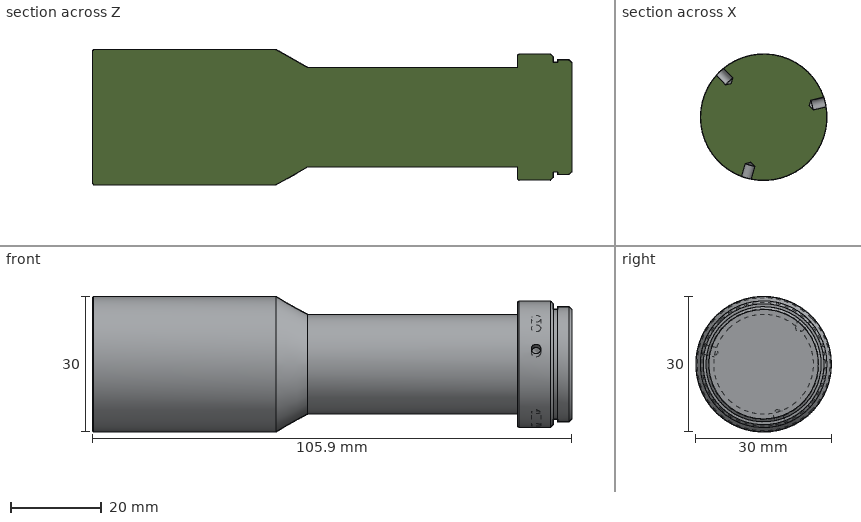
import cadquery as cq
import math

total_length = 105.9
barrel_end = 40.6
cone_end = 47.5
collar_start = 93.8
collar_end = 101.8
groove_end = 102.7

barrel_radius = 14.98
tube_radius = 11.0
collar_radius = 14.0
groove_radius = 12.2
spigot_radius = 12.7

barrel_chamfer = 0.3
collar_front_chamfer = 0.3
rear_chamfer = 0.6

hole_count = 3
hole_diameter = 2.1
hole_depth = collar_radius - tube_radius
drill_tip_angle = 118.0
hole_x = 98.0
first_hole_angle = 46.0


def make_body():
    """Revolve the stepped half profile about the X axis."""
    profile = [
        (0, 0),
        (0, barrel_radius - barrel_chamfer),
        (barrel_chamfer, barrel_radius),
        (barrel_end, barrel_radius),
        (cone_end, tube_radius),
        (collar_start, tube_radius),
        (collar_start, collar_radius - collar_front_chamfer),
        (collar_start + collar_front_chamfer, collar_radius),
        (collar_end - rear_chamfer, collar_radius),
        (collar_end, collar_radius - rear_chamfer),
        (collar_end, groove_radius),
        (groove_end, groove_radius),
        (groove_end, spigot_radius),
        (total_length - rear_chamfer, spigot_radius),
        (total_length, spigot_radius - rear_chamfer),
        (total_length, 0),
    ]
    return cq.Workplane("XY").polyline(profile).close().revolve(360, (0, 0, 0), (1, 0, 0))


def make_screw_hole(angle_degrees):
    """Radial drill shape: a cylinder out through the collar with a conical inner tip."""
    angle = math.radians(angle_degrees)
    outward = cq.Vector(0, math.cos(angle), math.sin(angle))
    floor_centre = cq.Vector(hole_x, 0, 0) + outward * (collar_radius - hole_depth)
    bore_radius = hole_diameter / 2
    cutter_length = 2 * hole_depth
    tip_length = bore_radius / math.tan(math.radians(drill_tip_angle / 2))
    bore = cq.Solid.makeCylinder(bore_radius, cutter_length, floor_centre, outward)
    tip = cq.Solid.makeCone(bore_radius, 0, tip_length, floor_centre, -outward)
    return bore.fuse(tip)


result = make_body()
for index in range(hole_count):
    result = result.cut(make_screw_hole(first_hole_angle + index * 360 / hole_count))